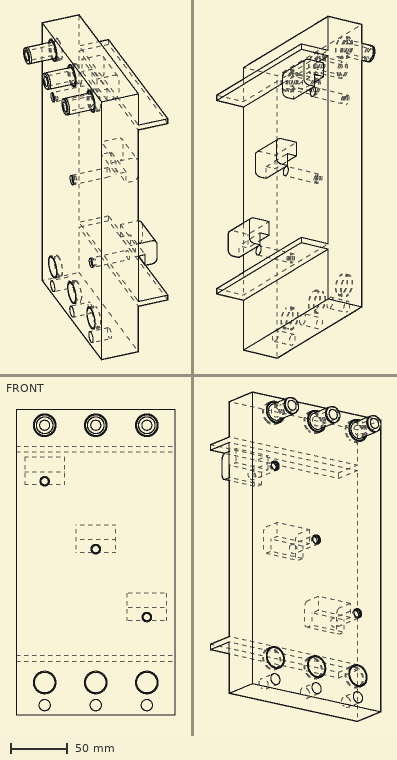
import cadquery as cq
total_depth = 88.0
width = 140.0
height = 270.0
pin_projection = 24.8
shelf_projection = 28.0
block_depth = total_depth - pin_projection - shelf_projection

top = height / 2
bottom = -height / 2
column_pitch = 45.0
columns = [-column_pitch, 0, column_pitch]

shelf_thickness = 5.0
upper_shelf_top = top - 32.7
shelf_pitch = 184.7

recess_diameter = 20.0
flange_diameter = 18.0
flange_depth = 5.5
pin_diameter = 14.8
pin_tip_diameter = 14.5
pin_tip_length = 1.5
pin_bore_diameter = 9.0
pin_z = top - 14.0
plug_z = bottom + 29.0

lower_hole_diameter = 10.0
lower_hole_depth = 17.5
lower_hole_z = bottom + 9.0

hook_pitch = 60.0
hook_width = 35.0
hook_height = 24.3
hook_projection = 20.8
hook_stem_height = 13.0
hook_lip_thickness = 11.3
hook_corner_radius = 4.9
first_hook_top = top - 42.0
screw_diameter = 8.5
screw_recess = 1.5
socket_diameter = 6.5
socket_depth = 2.0
first_screw_z = top - 63.5


def front_cylinder(diameter, x, z, y_start, y_end):
    """Cylinder along Y between two Y positions."""
    plane = cq.Plane(origin=(x, y_start, z), xDir=(1, 0, 0), normal=(0, 1, 0))
    return cq.Workplane(plane).circle(diameter / 2).extrude(y_end - y_start)


def make_shelf(shelf_top):
    shelf = cq.Workplane("XY").box(width, shelf_projection, shelf_thickness, centered=(True, False, False))
    return shelf.translate((0, block_depth, shelf_top - shelf_thickness))


def make_hook(x, hook_top):
    outer_y = block_depth + hook_projection
    inner_y = outer_y - hook_lip_thickness
    hook_bottom = hook_top - hook_height
    stem_bottom = hook_top - hook_stem_height
    outline = [
        (block_depth, hook_top),
        (outer_y, hook_top),
        (outer_y, hook_bottom),
        (inner_y, hook_bottom),
        (inner_y, stem_bottom),
        (block_depth, stem_bottom),
    ]
    hook = cq.Workplane("YZ").polyline(outline).close().extrude(hook_width / 2, both=True)
    hook = hook.edges("|X and >Y").fillet(hook_corner_radius)
    return hook.translate((x, 0, 0))


def make_housing():
    body = cq.Workplane("XY").box(width, block_depth, height, centered=(True, False, True))
    for index in range(2):
        body = body.union(make_shelf(upper_shelf_top - index * shelf_pitch))
    for index, x in enumerate(columns):
        body = body.union(make_hook(x, first_hook_top - index * hook_pitch))
        for z in (pin_z, plug_z):
            body = body.cut(front_cylinder(recess_diameter, x, z, 0, flange_depth))
        body = body.cut(front_cylinder(lower_hole_diameter, x, lower_hole_z, 0, lower_hole_depth))
        screw_z = first_screw_z - index * hook_pitch
        body = body.cut(front_cylinder(screw_diameter, x, screw_z, 0, block_depth))
    return body


def make_plug(x, z):
    return front_cylinder(flange_diameter, x, z, 0, flange_depth)


def make_pin(x):
    tip_start = pin_tip_length - pin_projection
    pin = make_plug(x, pin_z)
    pin = pin.union(front_cylinder(pin_diameter, x, pin_z, tip_start, 0))
    pin = pin.union(front_cylinder(pin_tip_diameter, x, pin_z, -pin_projection, tip_start))
    return pin.cut(front_cylinder(pin_bore_diameter, x, pin_z, -pin_projection, 0))


def make_screw(x, z):
    screw = front_cylinder(screw_diameter, x, z, screw_recess, block_depth)
    return screw.cut(front_cylinder(socket_diameter, x, z, screw_recess, screw_recess + socket_depth))


housing = make_housing()
pins = [make_pin(x).val() for x in columns]
plugs = [make_plug(x, plug_z).val() for x in columns]
screws = [make_screw(x, first_screw_z - index * hook_pitch).val() for index, x in enumerate(columns)]

result = cq.Compound.makeCompound([housing.val(), *pins, *plugs, *screws])